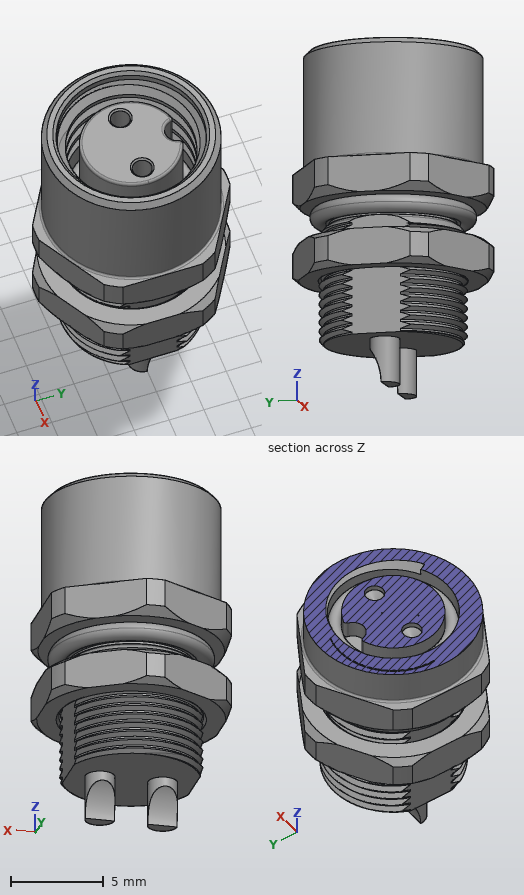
import cadquery as cq
import math

OVERLAP = 0.05

BODY_TOP = 16.0
COLLAR_BOTTOM = 7.5
HEX_THICKNESS = 2.0
COLLAR_TOP = COLLAR_BOTTOM + HEX_THICKNESS
NUT_BOTTOM = 3.5
NUT_TOP = NUT_BOTTOM + HEX_THICKNESS

HEX_SIDES = 6
HEX_ACROSS_FLATS = 10.0
HEX_CORNER_RADIUS = 5.5
COLLAR_CHAMFER = 0.47
NUT_CHAMFER_WIDTH = 0.4
NUT_CHAMFER_HEIGHT = 0.33
NUT_HOLE_RADIUS = 3.9
NUT_HOLE_CHAMFER = 0.15

SLEEVE_RADIUS = 4.85
SLEEVE_CHAMFER = 0.3
SLEEVE_ROOT_FILLET = 0.12

RING_TUBE_RADIUS = 0.5
RING_RADIUS = 4.0
RING_Z = COLLAR_BOTTOM - RING_TUBE_RADIUS
RING_SEAT_RADIUS = 3.7
RING_SEAT_DEPTH = 0.85

THREAD_TOP = COLLAR_BOTTOM - 2 * RING_TUBE_RADIUS
THREAD_PITCH = 0.5
THREAD_MAJOR_RADIUS = 4.0
THREAD_MINOR_RADIUS = 3.75
THREAD_ROOT_HALF_WIDTH = 0.2
THREAD_TURNS = 14
THREAD_RUNOUT_Z = 6.34
THREAD_RUNOUT_ANGLE = 185.0
THREAD_BLANK_OVERHANG = 2.0
THREAD_TOP_RADIUS = 3.5
THREAD_LEAD_HEIGHT = 0.55
THREAD_LEAD_STEP_RADIUS = 3.7
THREAD_LEAD_STEP_HEIGHT = 0.16
THREAD_END_CHAMFER = 0.25
BODY_FLAT_WIDTH = 7.0

BORE_FLOOR = 10.5
BORE_RADIUS = 3.55
BORE_THREAD_PITCH = 1.0
BORE_THREAD_ROOT_RADIUS = 4.0
BORE_THREAD_HALF_WIDTH = 0.37
BORE_THREAD_START_ANGLE = -60.0
MOUTH_RADIUS = 4.05
MOUTH_CHAMFER = 0.18
MOUTH_DEPTH = 0.56

CARRIER_RADIUS = 2.8
CARRIER_TOP = BODY_TOP - 0.78
CARRIER_FILLET = 0.15
KEYWAY_RADIUS = 0.7
KEYWAY_Y = 2.66
KEYWAY_CORNER_FILLET = 0.2
CONTACT_X = 1.74
CONTACT_HOLE_RADIUS = 0.54
CONTACT_HOLE_DEPTH = 4.0
CONTACT_HOLE_CHAMFER = 0.1
DRILL_TIP_ANGLE = 118.0

SEAL_TUBE_RADIUS = (BORE_RADIUS - CARRIER_RADIUS) / 2
SEAL_RADIUS = (BORE_RADIUS + CARRIER_RADIUS) / 2

TAIL_RADIUS = 0.81
TAIL_LENGTH = 2.5
TAIL_SCOOP_TOP = -0.52


def cylinder(radius, bottom, top):
    return cq.Workplane("XY").workplane(offset=bottom).circle(radius).extrude(top - bottom)


def revolved(points):
    """Solid of revolution about Z from (radius, height) points."""
    return cq.Workplane("XZ").polyline(points).close().revolve(360, (0, 0, 0), (0, 1, 0))


def torus(radius, tube_radius, height):
    profile = cq.Workplane("XZ").center(radius, height).circle(tube_radius)
    return profile.revolve(360, (-radius, 0, 0), (-radius, 1, 0))


def helical_wedge(pitch, base_radius, tip_radius, half_width, bottom, top):
    """Right-hand helical coil with a triangular section whose point is at tip_radius."""
    height = top - bottom
    corners = [(base_radius, bottom - half_width), (tip_radius, bottom), (base_radius, bottom + half_width)]
    helices = [cq.Wire.makeHelix(pitch, height, r).translate(cq.Vector(0, 0, z)) for r, z in corners]
    faces = [cq.Face.makeRuledSurface(helices[i - 1], helices[i]) for i in range(len(helices))]
    for end in (0, 1):
        section = cq.Wire.makePolygon([helix.positionAt(end) for helix in helices], close=True)
        faces.append(cq.Face.makeFromWires(section))
    return cq.Workplane(cq.Solid.makeSolid(cq.Shell.makeShell(faces)))


def hexagon(bottom, top, chamfer_width, chamfer_height):
    """Hexagonal prism with turned corners, its lower corners chamfered."""
    corner_distance = HEX_ACROSS_FLATS / math.cos(math.pi / HEX_SIDES)
    outline = cq.Workplane("XY").workplane(offset=bottom).polygon(HEX_SIDES, corner_distance)
    prism = outline.extrude(top - bottom)
    prism = prism.rotate((0, 0, 0), (0, 0, 1), 180 / HEX_SIDES)
    blank = revolved(
        [
            (0, bottom),
            (HEX_CORNER_RADIUS - chamfer_width, bottom),
            (HEX_CORNER_RADIUS, bottom + chamfer_height),
            (HEX_CORNER_RADIUS, top),
            (0, top),
        ]
    )
    return prism.intersect(blank)


def make_sleeve():
    root_radius = SLEEVE_RADIUS + SLEEVE_ROOT_FILLET
    rim_radius = SLEEVE_RADIUS - SLEEVE_CHAMFER
    profile = (
        cq.Workplane("XZ")
        .moveTo(0, COLLAR_TOP)
        .lineTo(root_radius, COLLAR_TOP)
        .radiusArc((SLEEVE_RADIUS, COLLAR_TOP + SLEEVE_ROOT_FILLET), SLEEVE_ROOT_FILLET)
        .lineTo(SLEEVE_RADIUS, BODY_TOP - SLEEVE_CHAMFER)
        .lineTo(rim_radius, BODY_TOP)
        .lineTo(0, BODY_TOP)
        .close()
    )
    return profile.revolve(360, (0, 0, 0), (0, 1, 0))


def make_threaded_body():
    """Threaded rod with two flats; its conical lead is left unthreaded on the -Y side."""
    core = cylinder(THREAD_MINOR_RADIUS, -THREAD_BLANK_OVERHANG, THREAD_TOP + THREAD_BLANK_OVERHANG)
    depth = THREAD_MAJOR_RADIUS - THREAD_MINOR_RADIUS
    base_radius = THREAD_MINOR_RADIUS - OVERLAP
    base_half_width = THREAD_ROOT_HALF_WIDTH * (depth + OVERLAP) / depth
    ridge = helical_wedge(
        THREAD_PITCH, base_radius, THREAD_MAJOR_RADIUS, base_half_width,
        THREAD_RUNOUT_Z - THREAD_TURNS * THREAD_PITCH, THREAD_RUNOUT_Z,
    )
    ridge = ridge.rotate((0, 0, 0), (0, 0, 1), THREAD_RUNOUT_ANGLE)
    envelope = revolved(
        [
            (0, 0),
            (THREAD_MAJOR_RADIUS - THREAD_END_CHAMFER, 0),
            (THREAD_MAJOR_RADIUS, THREAD_END_CHAMFER),
            (THREAD_MAJOR_RADIUS, THREAD_TOP - THREAD_LEAD_HEIGHT),
            (THREAD_LEAD_STEP_RADIUS, THREAD_TOP - THREAD_LEAD_STEP_HEIGHT),
            (THREAD_TOP_RADIUS, THREAD_TOP),
            (0, THREAD_TOP),
        ]
    )
    block_size = 3 * THREAD_MAJOR_RADIUS
    flats = cq.Workplane("XY").box(
        BODY_FLAT_WIDTH, block_size, THREAD_TOP, centered=(True, True, False)
    )
    plain_lead = cq.Workplane("XY").box(
        block_size, block_size, THREAD_LEAD_HEIGHT, centered=(True, False, False)
    ).translate((0, -block_size, THREAD_TOP - THREAD_LEAD_HEIGHT))
    return core.union(ridge).union(plain_lead).intersect(envelope).intersect(flats)


def make_ring_seat():
    neck = cylinder(THREAD_TOP_RADIUS - OVERLAP, THREAD_TOP - OVERLAP, COLLAR_BOTTOM + OVERLAP)
    seat = cylinder(RING_SEAT_RADIUS, COLLAR_BOTTOM - RING_SEAT_DEPTH, COLLAR_BOTTOM + OVERLAP)
    return neck.union(seat).union(torus(RING_RADIUS, RING_TUBE_RADIUS, RING_Z))


def make_bore():
    """Threaded bore whose floor carries the half-round seal around the carrier."""
    mouth_bottom = BODY_TOP - MOUTH_DEPTH
    bore_profile = (
        cq.Workplane("XZ")
        .moveTo(0, BORE_FLOOR)
        .lineTo(CARRIER_RADIUS, BORE_FLOOR)
        .threePointArc((SEAL_RADIUS, BORE_FLOOR + SEAL_TUBE_RADIUS), (BORE_RADIUS, BORE_FLOOR))
        .lineTo(BORE_RADIUS, mouth_bottom - (MOUTH_RADIUS - BORE_RADIUS))
        .lineTo(MOUTH_RADIUS, mouth_bottom)
        .lineTo(MOUTH_RADIUS, BODY_TOP - MOUTH_CHAMFER)
        .lineTo(MOUTH_RADIUS + MOUTH_CHAMFER, BODY_TOP)
        .lineTo(0, BODY_TOP)
        .close()
    )
    bore = bore_profile.revolve(360, (0, 0, 0), (0, 1, 0))
    depth = BORE_THREAD_ROOT_RADIUS - BORE_RADIUS
    base_half_width = BORE_THREAD_HALF_WIDTH * (depth + OVERLAP) / depth
    groove = helical_wedge(
        BORE_THREAD_PITCH, BORE_RADIUS - OVERLAP, BORE_THREAD_ROOT_RADIUS, base_half_width,
        BORE_FLOOR + BORE_THREAD_PITCH, BODY_TOP - MOUTH_DEPTH,
    )
    groove = groove.rotate((0, 0, 0), (0, 0, 1), BORE_THREAD_START_ANGLE)
    return bore.union(groove)


def make_contact_hole(x):
    tip_height = CONTACT_HOLE_RADIUS / math.tan(math.radians(DRILL_TIP_ANGLE / 2))
    hole_bottom = CARRIER_TOP - CONTACT_HOLE_DEPTH
    hole = revolved(
        [
            (0, hole_bottom - tip_height),
            (CONTACT_HOLE_RADIUS, hole_bottom),
            (CONTACT_HOLE_RADIUS, CARRIER_TOP - CONTACT_HOLE_CHAMFER),
            (CONTACT_HOLE_RADIUS + CONTACT_HOLE_CHAMFER, CARRIER_TOP),
            (0, CARRIER_TOP),
        ]
    )
    return hole.translate((x, 0, 0))


def make_carrier():
    carrier = cylinder(CARRIER_RADIUS, BORE_FLOOR - OVERLAP, CARRIER_TOP)
    keyway = cylinder(KEYWAY_RADIUS, BORE_FLOOR, CARRIER_TOP).translate((0, KEYWAY_Y, 0))
    carrier = carrier.cut(keyway)
    corner_reach = 2 * KEYWAY_RADIUS
    corners = cq.selectors.BoxSelector(
        (-corner_reach, KEYWAY_Y - KEYWAY_RADIUS, BORE_FLOOR),
        (corner_reach, CARRIER_RADIUS, CARRIER_TOP),
    )
    carrier = carrier.edges("|Z").edges(corners).fillet(KEYWAY_CORNER_FILLET)
    carrier = carrier.faces(">Z").edges().fillet(CARRIER_FILLET)
    for x in (-CONTACT_X, CONTACT_X):
        carrier = carrier.cut(make_contact_hole(x))
    return carrier


def make_tail(x):
    """Round tail whose +Y half is scooped away by a cylinder tangent to the XZ plane."""
    tail = cylinder(TAIL_RADIUS, -TAIL_LENGTH, OVERLAP)
    scoop_height = TAIL_LENGTH + TAIL_SCOOP_TOP
    scoop_radius = (TAIL_RADIUS**2 + scoop_height**2) / (2 * TAIL_RADIUS)
    scoop = (
        cq.Workplane("YZ")
        .center(scoop_radius, -TAIL_LENGTH)
        .circle(scoop_radius)
        .extrude(TAIL_RADIUS + OVERLAP, both=True)
    )
    return tail.cut(scoop).translate((x, 0, 0))


def make_nut():
    """Nut with a plain hole that bites slightly into the thread crests, open beside the body flats."""
    mouth_radius = NUT_HOLE_RADIUS + NUT_HOLE_CHAMFER
    hole = revolved(
        [
            (0, NUT_BOTTOM),
            (mouth_radius, NUT_BOTTOM),
            (NUT_HOLE_RADIUS, NUT_BOTTOM + NUT_HOLE_CHAMFER),
            (NUT_HOLE_RADIUS, NUT_TOP - NUT_HOLE_CHAMFER),
            (mouth_radius, NUT_TOP),
            (0, NUT_TOP),
        ]
    )
    middle = (NUT_BOTTOM + NUT_TOP) / 2
    lower_half = hexagon(NUT_BOTTOM, middle, NUT_CHAMFER_WIDTH, NUT_CHAMFER_HEIGHT)
    upper_half = lower_half.mirror("XY", (0, 0, middle))
    return lower_half.union(upper_half).cut(hole)


collar = hexagon(COLLAR_BOTTOM, COLLAR_TOP, COLLAR_CHAMFER, COLLAR_CHAMFER)

result = collar.union(make_sleeve()).cut(make_bore())
result = result.union(make_carrier())
result = result.union(make_ring_seat())
result = result.union(make_threaded_body()).union(make_nut())
for tail_x in (-CONTACT_X, CONTACT_X):
    result = result.union(make_tail(tail_x))